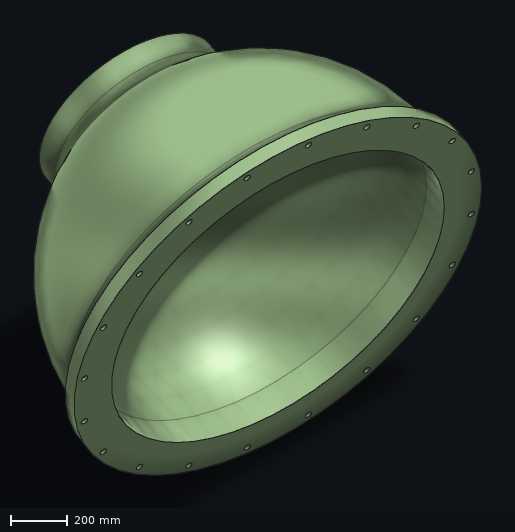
import cadquery as cq
import math

total_length = 975.0
flange_radius = 870.0
flange_thickness = 57.0
collar_length = 57.0
dome_radius = 809.0
wall_thickness = 100.0
neck_radius = 378.0
neck_fillet_radius = 77.0
mouth_radius = 338.0
throat_radius = 191.0
bolt_count = 20
bolt_circle_radius = 835.0
bolt_hole_diameter = 26.0

flange_start = total_length - flange_thickness
dome_center = flange_start - collar_length
cavity_radius = dome_radius - wall_thickness
throat_x = dome_center - math.sqrt(cavity_radius**2 - throat_radius**2)

blend_radius = neck_radius + neck_fillet_radius
center_distance = dome_radius + neck_fillet_radius
blend_x = dome_center - math.sqrt(center_distance**2 - blend_radius**2)
dome_share = dome_radius / center_distance
dome_start_x = dome_center - (dome_center - blend_x) * dome_share
dome_start_radius = blend_radius * dome_share


def point_on_arc(center_x, center_radius, arc_radius, angle):
    """Point (x, radius) on a circle in the profile plane."""
    return (
        center_x + arc_radius * math.cos(angle),
        center_radius + arc_radius * math.sin(angle),
    )


def make_body():
    """Revolve the wall section: neck, dome, collar, flange, cavity and cone."""
    dome_angle = math.atan2(dome_start_radius, dome_start_x - dome_center)
    blend_end_angle = dome_angle - math.pi
    blend_middle = (blend_end_angle - math.pi / 2) / 2
    dome_middle = (dome_angle + math.pi / 2) / 2
    throat_angle = math.atan2(throat_radius, throat_x - dome_center)
    cavity_middle = (throat_angle + math.pi / 2) / 2
    profile = (
        cq.Workplane("XY")
        .moveTo(0, mouth_radius)
        .lineTo(0, neck_radius)
        .lineTo(blend_x, neck_radius)
        .threePointArc(
            point_on_arc(blend_x, blend_radius, neck_fillet_radius, blend_middle),
            (dome_start_x, dome_start_radius),
        )
        .threePointArc(
            point_on_arc(dome_center, 0, dome_radius, dome_middle),
            (dome_center, dome_radius),
        )
        .lineTo(flange_start, dome_radius)
        .lineTo(flange_start, flange_radius)
        .lineTo(total_length, flange_radius)
        .lineTo(total_length, cavity_radius)
        .lineTo(dome_center, cavity_radius)
        .threePointArc(
            point_on_arc(dome_center, 0, cavity_radius, cavity_middle),
            (throat_x, throat_radius),
        )
        .close()
    )
    return profile.revolve(360, (0, 0, 0), (1, 0, 0))


def make_bolt_holes():
    """Ring of through holes, with the Y and Z axes midway between holes."""
    pitch = 360 / bolt_count
    return (
        cq.Workplane("YZ", origin=(flange_start, 0, 0))
        .polarArray(bolt_circle_radius, pitch / 2, 360, bolt_count)
        .circle(bolt_hole_diameter / 2)
        .extrude(flange_thickness)
    )


result = make_body().cut(make_bolt_holes())